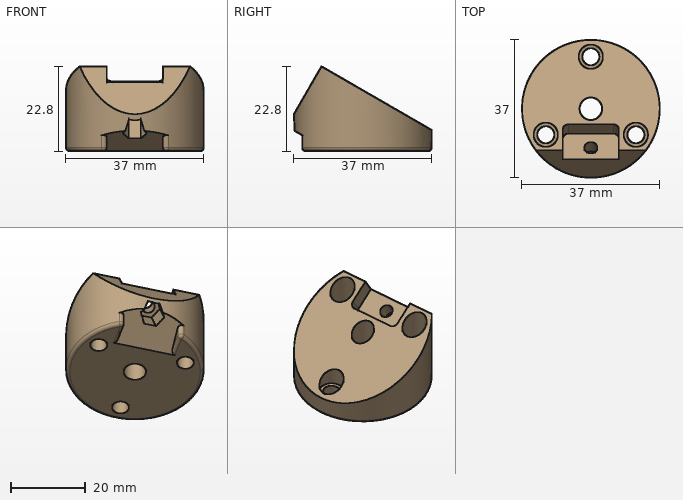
import cadquery as cq
import math

body_radius = 18.5
tilt = 30
ridge_y = -11.1
ridge_z = 22.75
edge_round = 1.0

center_bore = 6.0
bolt_circle_radius = 13.95
bolt_hole = 4.5
bolt_head = 6.5
bolt_seat_z = 5.0

pocket_width = 15.0
pocket_length = 8.0
pocket_depth = 5.0
pocket_corner = 1.5

screw_hole = 3.5
screw_from_ridge = 3.63
nut_corner_diameter = 6.5
screw_length = 5.0

notch_width = 15.0
notch_back_y = -8.88

slope = math.tan(math.radians(tilt))
body_diameter = 2 * body_radius
ceiling_front_z = (notch_back_y + body_radius) * slope
ceiling_depth = (
    ridge_z * math.cos(math.radians(tilt))
    + (ridge_y - notch_back_y) * math.sin(math.radians(tilt))
)
nut_depth = ceiling_depth - pocket_depth - screw_length
mounting_plane = cq.Plane(
    origin=(0, ridge_y, ridge_z),
    xDir=(1, 0, 0),
    normal=(0, math.sin(math.radians(tilt)), math.cos(math.radians(tilt))),
)


def side_prism(points, width):
    """Prism with a Y-Z outline, centred on X = 0."""
    return cq.Workplane("YZ").polyline(points).close().extrude(width / 2, both=True)


def make_base():
    """Round body with an open front notch; the notch mouth and the bottom rim are rounded."""
    notch_length = notch_back_y + body_radius
    notch = cq.Workplane("XY").box(notch_width, notch_length, ridge_z, centered=(True, False, False))
    base = cq.Workplane("XY").circle(body_radius).extrude(ridge_z)
    base = base.cut(notch.translate((0, -body_radius, 0)))
    base = base.edges("|Z").edges("<Y").fillet(edge_round)
    return base.faces("<Z").edges("not |X").fillet(edge_round)


def make_notch_roof():
    """Fill of the round body above the sloping notch ceiling."""
    outline = [
        (-body_radius, ceiling_front_z),
        (notch_back_y, 0),
        (0, 0),
        (0, ridge_z),
        (-body_radius, ridge_z),
    ]
    roof_width = notch_width + 4 * edge_round
    cylinder = cq.Workplane("XY").circle(body_radius).extrude(ridge_z)
    return side_prism(outline, roof_width).intersect(cylinder)


def make_envelope():
    """Everything under the mounting face and behind the front face."""
    outline = [
        (-body_radius, 0),
        (body_radius, 0),
        (body_radius, ridge_z - (body_radius - ridge_y) * slope),
        (ridge_y, ridge_z),
        (-body_radius, ridge_z - (body_radius + ridge_y) / slope),
    ]
    return side_prism(outline, body_diameter)


def make_vertical_holes():
    """Through bore on the axis and three counterbored bolt holes."""
    holes = cq.Workplane("XY").circle(center_bore / 2).extrude(ridge_z)
    bolts = cq.Workplane("XY").polarArray(bolt_circle_radius, 90, 360, 3)
    heads = cq.Workplane("XY", origin=(0, 0, bolt_seat_z)).polarArray(bolt_circle_radius, 90, 360, 3)
    holes = holes.union(bolts.circle(bolt_hole / 2).extrude(ridge_z))
    return holes.union(heads.circle(bolt_head / 2).extrude(ridge_z))


def make_pocket():
    """Pocket open through the mounting face and the front face, with round back corners."""
    pocket = (
        cq.Workplane(mounting_plane)
        .rect(pocket_width, 2 * pocket_length)
        .extrude(-pocket_depth)
    )
    return pocket.edges(cq.selectors.ParallelDirSelector(mounting_plane.zDir)).fillet(pocket_corner)


def make_screw_cut():
    """Screw hole from the pocket to the notch, ending in a hexagonal nut recess."""
    screw = cq.Workplane(mounting_plane).center(0, screw_from_ridge)
    hole = screw.circle(screw_hole / 2).extrude(-ceiling_depth)
    nut = (
        screw.workplane(offset=-ceiling_depth)
        .polygon(6, nut_corner_diameter)
        .extrude(nut_depth)
    )
    return hole.union(nut)


result = (
    make_base()
    .union(make_notch_roof())
    .intersect(make_envelope())
    .cut(make_vertical_holes())
    .cut(make_pocket())
    .cut(make_screw_cut())
)